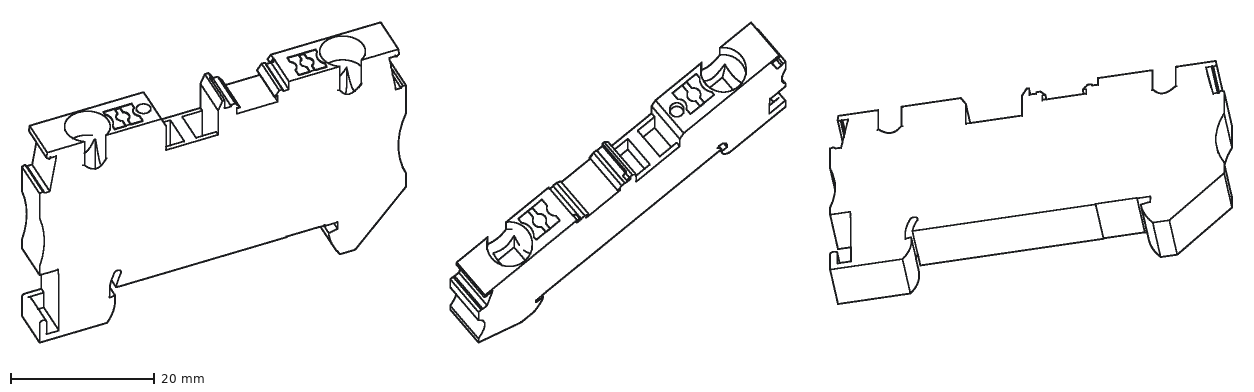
import cadquery as cq


width = 6.15
length = 55.9
height = 35.3
end_y = length / 2

lip_y = 26.8
lip_bulge = 0.1
lip_bulge_z = height - 0.95
lip_tip_y = lip_y - 0.35
lip_tip_z = height - 1.35
lip_barb_height = 0.3
lip_drop = 1.2
neck_top_y = lip_y - 1.4
neck_bottom_y = end_y - 1.55
ledge_z = 27.85
ledge_y = end_y - 0.8
ridge_y = end_y - 0.5
ridge_z = ledge_z + 0.35
end_top_z = ledge_z + 0.15

back_grip_top_z = 22.85
back_grip_bottom_z = 11.5
back_grip_depth = 1.2
front_grip_top_z = 23.4
front_grip_bottom_z = 14.3
front_grip_depth = 0.7

shoulder_y = 10.05
post_back_y = 0.3
post_top_y = -0.05
seat_back_y = 8.4
seat_front_y = 2.1
seat_z = 32.1
catch_z = 33.1
catch_reach = 0.5
rim_z = 34.1
rim_width = 0.6
rim_round = 0.2
groove_z = 33.75
groove_back_y = 9.2
groove_front_y = 1.3

tab_width = 0.9
tab_reach = 0.55
tab_top_reach = 0.05
post_tab_reach = 0.65
post_tab_top_reach = 0.2
tab_drop = 0.65

opening_back_y = -0.7
opening_front_y = -8.65
opening_z = 29.2
opening_lead_z = 33.7
opening_lead = 0.7
shaft_wall = 0.65
shaft_width = width - 2 * shaft_wall
shaft_length = 3.1
shaft_depth = 6.7

rail_z = 6.15
relief_depth = 0.1
relief_back_y = 15.6
relief_front_y = 9.7
back_foot_end_z = 9.05
back_foot_y = 20.2
back_hook_y = 17.85
back_hook_mid = (16.75, 2.0)
back_hook_tip_y = 16.15
back_hook_tip_bottom_z = 4.25
back_hook_tip_z = 4.6
back_hook_root_y = 17.5
back_hook_root_z = 4.9

slot_back_y = -16.25
slot_back_mid = (-16.0, 7.45)
slot_end_back = (-15.55, 8.6)
slot_end_mid = (-16.0, 9.3)
slot_end_front = (-16.6, 8.9)
slot_front_mid = (-17.05, 7.55)
slot_front_y = -17.3
slot_front_bottom_z = 4.6

front_hook_tip_y = -16.45
front_hook_tip_z = 4.75
front_hook_tip_bottom_z = 3.2
front_hook_mid = (-16.8, 1.5)
front_hook_y = -17.65

notch_y = -25.0
notch_top_z = 12.7
notch_bottom_z = 4.0
notch_bend_z = 10.2
notch_lean = 0.1

toe_lip_width = 1.05
toe_lip_round = 0.5
toe_wall = 0.9
toe_well_depth = 2.8

entry_x = 3.4
entry_y = 19.45
entry_radius = 3.2
mouth_depth = 4.45
funnel_depth = 4.45
funnel_radius = 1.55
funnel_shift = 0.5
pocket_x_min = 1.2
pocket_x_max = 5.05
pocket_inner_y = 17.3
pocket_outer_y = 20.6
pocket_outer_top_y = 21.1
pocket_top_depth = 5.05
pocket_taper_depth = 8.95
pocket_depth = 13.4

mark_x = 3.45
mark_y = 14.05
mark_width = 3.9
mark_length = 4.3
mark_depth = 0.1
mark_band = 0.8
mark_band_depth = 0.3
mark_circle_radius = 0.95
mark_circle_x = 3.35
mark_arc_height = 0.5
mark_entry_arc_radius = 2.0
mark_inner_arc_radius = 1.1

dimple_x = 3.2
dimple_y = -10.8
dimple_radius = 1.0
dimple_depth = 2.25


def end_cap_points(side):
    """Outline of one end from the top face down to the end face; side is +1 or -1 along Y."""
    points = [
        (lip_y, height),
        (lip_y + lip_bulge, lip_bulge_z),
        (lip_tip_y, lip_tip_z),
        (lip_tip_y - lip_barb_height / 2, lip_tip_z + lip_barb_height),
        (lip_tip_y - lip_barb_height, height - lip_drop),
        (neck_top_y, height - lip_drop),
        (neck_bottom_y, ledge_z),
        (ledge_y, ledge_z),
        (ridge_y, ridge_z),
        (end_y, end_top_z),
    ]
    return [(side * y, z) for y, z in points]


def make_body():
    back_grip_mid_z = (back_grip_top_z + back_grip_bottom_z) / 2
    front_grip_mid_z = (front_grip_top_z + front_grip_bottom_z) / 2
    outline = cq.Workplane("YZ").moveTo(lip_y, height)

    for point in end_cap_points(1)[1:]:
        outline = outline.lineTo(*point)
    outline = (
        outline.lineTo(end_y, back_grip_top_z)
        .threePointArc((end_y - back_grip_depth, back_grip_mid_z), (end_y, back_grip_bottom_z))
        .lineTo(end_y, back_foot_end_z)
        .lineTo(back_foot_y, 0)
        .lineTo(back_hook_y, 0)
        .threePointArc(back_hook_mid, (back_hook_tip_y, back_hook_tip_bottom_z))
        .lineTo(back_hook_tip_y, back_hook_tip_z)
        .lineTo(back_hook_root_y, back_hook_root_z)
        .lineTo(back_hook_root_y, rail_z)
    )

    outline = (
        outline.lineTo(relief_back_y, rail_z)
        .lineTo(relief_back_y, rail_z + relief_depth)
        .lineTo(relief_front_y, rail_z + relief_depth)
        .lineTo(relief_front_y, rail_z)
        .lineTo(slot_back_y, rail_z)
        .threePointArc(slot_back_mid, slot_end_back)
        .threePointArc(slot_end_mid, slot_end_front)
        .threePointArc(slot_front_mid, (slot_front_y, rail_z))
        .lineTo(slot_front_y, slot_front_bottom_z)
        .lineTo(front_hook_tip_y, front_hook_tip_z)
        .lineTo(front_hook_tip_y, front_hook_tip_bottom_z)
        .threePointArc(front_hook_mid, (front_hook_y, 0))
        .lineTo(-end_y, 0)
        .lineTo(-end_y, notch_bottom_z)
        .lineTo(notch_y, notch_bottom_z)
        .lineTo(notch_y, notch_bend_z)
        .lineTo(notch_y - notch_lean, notch_top_z)
        .lineTo(-end_y, notch_top_z)
        .lineTo(-end_y, front_grip_bottom_z)
        .threePointArc((-end_y + front_grip_depth, front_grip_mid_z), (-end_y, front_grip_top_z))
    )

    for point in reversed(end_cap_points(-1)):
        outline = outline.lineTo(*point)
    top_edge = [
        (opening_front_y - opening_lead, height),
        (opening_front_y, opening_lead_z),
        (opening_front_y, opening_z),
        (opening_back_y, opening_z),
        (opening_back_y, opening_lead_z),
        (post_top_y, height),
        (post_back_y, height),
        (post_back_y, groove_z),
        (groove_front_y, groove_z),
        (groove_front_y, rim_z),
        (groove_front_y + rim_width, rim_z),
        (seat_front_y + catch_reach, catch_z),
        (seat_front_y, catch_z),
        (seat_front_y, seat_z),
        (seat_back_y, seat_z),
        (seat_back_y, catch_z),
        (seat_back_y - catch_reach, catch_z),
        (groove_back_y - rim_width, rim_z),
        (groove_back_y, rim_z),
        (groove_back_y, groove_z),
        (shoulder_y, groove_z),
        (shoulder_y, height),
    ]
    for point in top_edge:
        outline = outline.lineTo(*point)
    body = outline.close().extrude(width)
    for rim_y in (groove_back_y, groove_front_y):
        rim_corner = cq.selectors.NearestToPointSelector((width / 2, rim_y, rim_z))
        body = body.edges(rim_corner).fillet(rim_round)
    return body


def cut_toe_well(body):
    """Hollow the toe behind its front lip, then round both top edges of the lip."""
    lip_back_y = -end_y + toe_lip_width
    well_corner = (toe_wall, lip_back_y, notch_bottom_z - toe_well_depth)
    well = cq.Workplane("XY", origin=well_corner).box(
        width - toe_wall, notch_y - lip_back_y, toe_well_depth, centered=False
    )
    body = body.cut(well)
    for lip_edge_y in (-end_y, lip_back_y):
        lip_edge = cq.selectors.NearestToPointSelector((width / 2, lip_edge_y, notch_bottom_z))
        body = body.edges(lip_edge).fillet(toe_lip_round)
    return body


def make_tab(root_y, top_y, tip_y):
    """Snap tab with a sloped top, hanging over a groove."""
    tab_z = height - tab_drop
    points = [(root_y, tab_z), (root_y, height), (top_y, height), (tip_y, tab_z)]
    return cq.Workplane("YZ").polyline(points).close().extrude(tab_width)


def make_shaft(center_y):
    floor = cq.Workplane("XY", origin=(width / 2, center_y, opening_z))
    return floor.rect(shaft_width, shaft_length).extrude(-shaft_depth)


def make_entry(side):
    """Conductor entry; its funnel leans towards the middle of the block."""
    mouth_floor_z = height - mouth_depth
    mouth = (
        cq.Workplane("XY", origin=(entry_x, side * entry_y, height))
        .circle(entry_radius)
        .extrude(-mouth_depth)
    )
    funnel = (
        cq.Workplane("XY", origin=(entry_x, side * entry_y, mouth_floor_z))
        .circle(entry_radius)
        .workplane(offset=-funnel_depth)
        .center(0, -side * funnel_shift)
        .circle(funnel_radius)
        .loft()
    )
    pocket_points = [
        (side * pocket_inner_y, height - pocket_top_depth),
        (side * pocket_outer_top_y, height - pocket_top_depth),
        (side * pocket_outer_top_y, height - pocket_taper_depth),
        (side * pocket_outer_y, height - pocket_depth),
        (side * pocket_inner_y, height - pocket_depth),
    ]
    pocket = (
        cq.Workplane("YZ", origin=(pocket_x_min, 0, 0))
        .polyline(pocket_points)
        .close()
        .extrude(pocket_x_max - pocket_x_min)
    )
    return mouth.union(funnel).union(pocket)


def make_mark(side):
    """Shallow recess with scooped ends and a deeper band widened by a circle."""
    top = cq.Workplane("XY", origin=(0, 0, height))
    center_y = side * mark_y
    recess = top.center(mark_x, center_y).rect(mark_width, mark_length).extrude(-mark_depth)
    for direction, radius in ((side, mark_entry_arc_radius), (-side, mark_inner_arc_radius)):
        arc_y = center_y + direction * (mark_length / 2 - mark_arc_height + radius)
        recess = recess.cut(top.center(mark_circle_x, arc_y).circle(radius).extrude(-mark_depth))
    band = top.center(mark_x, center_y).rect(mark_width, mark_band).extrude(-mark_band_depth)
    circle = top.center(mark_circle_x, center_y).circle(mark_circle_radius).extrude(-mark_band_depth)
    return recess.union(band).union(circle)


def make_dimple():
    top = cq.Workplane("XY", origin=(dimple_x, dimple_y, height))
    return top.circle(dimple_radius).extrude(-dimple_depth)


result = cut_toe_well(make_body())
result = result.union(make_tab(shoulder_y, shoulder_y - tab_top_reach, shoulder_y - tab_reach))
result = result.union(
    make_tab(post_back_y, post_back_y + post_tab_top_reach, post_back_y + post_tab_reach)
)
for shaft_y in (opening_back_y - shaft_length / 2, opening_front_y + shaft_length / 2):
    result = result.cut(make_shaft(shaft_y))
for end in (1, -1):
    result = result.cut(make_entry(end))
    result = result.cut(make_mark(end))
result = result.cut(make_dimple())